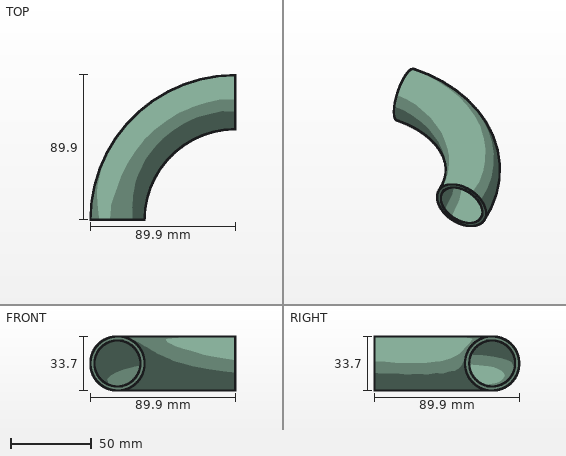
import cadquery as cq

overall_length = 89.85
outer_diameter = 33.7
wall_thickness = 2.6
bend_angle = 90.0

outer_radius = outer_diameter / 2
inner_radius = outer_radius - wall_thickness
bend_radius = overall_length - outer_radius


def pipe_elbow():
    """Sweep the pipe's ring section a quarter turn about the vertical bend axis.

    The lower end is centred on the origin and faces -Y.
    The other end faces +X, directly above the bend axis in Y.
    """
    ring_section = cq.Workplane("XZ").circle(outer_radius).circle(inner_radius)
    axis_start = (bend_radius, 0)
    axis_end = (bend_radius, -1)
    return ring_section.revolve(bend_angle, axis_start, axis_end)


result = pipe_elbow()